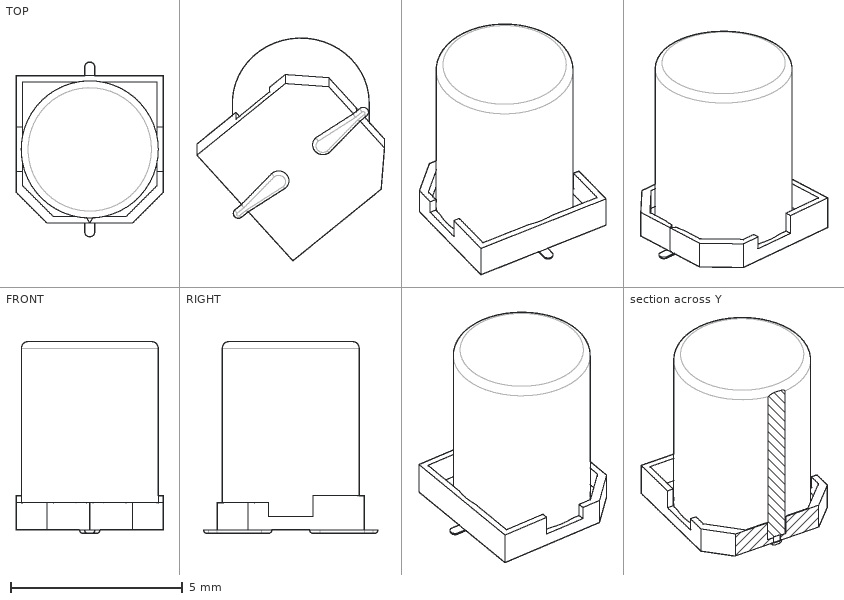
import cadquery as cq

base_width = 4.3
base_chamfer = 0.9
wall = 0.19
floor_height = 0.2
front_wall_height = 0.8
back_wall_height = 1.0
window_width = 1.3
window_sill = 0.4
notch_side_slope = 0.6
notch_breakthrough = 0.001

can_radius = 2.0
can_top = 5.5
can_fillet = 0.2

pad_thickness = 0.1
pad_outer_end = 2.55
pad_inner_end = 0.55
pad_tip_radius = 0.15
pad_root_radius = 0.3
pad_edge_fillet = 0.999 * pad_thickness

half_width = base_width / 2
can_bottom = floor_height
can_height = can_top - can_bottom


def chamfered_square(width, height):
    """Square block with its two -Y corners cut off."""
    block = cq.Workplane("XY").rect(width, width).extrude(height)
    return block.edges("|Z and <Y").chamfer(base_chamfer)


def make_base():
    body = chamfered_square(base_width, back_wall_height)

    pocket = chamfered_square(base_width - 2 * wall, back_wall_height)
    body = body.cut(pocket.translate((0, 0, floor_height)))

    seat = cq.Workplane("XY", origin=(0, 0, can_bottom)).circle(can_radius).extrude(can_height)
    body = body.cut(seat)

    front_relief = (
        cq.Workplane("XY", origin=(0, -half_width, front_wall_height))
        .rect(base_width, base_width)
        .extrude(back_wall_height)
    )
    body = body.cut(front_relief)

    windows = (
        cq.Workplane("XY", origin=(0, 0, window_sill))
        .rect(base_width, window_width)
        .extrude(back_wall_height)
    )
    body = body.cut(windows)

    notch_tip = -half_width - notch_breakthrough
    notch_back = -half_width + wall
    notch_half_width = notch_side_slope * (notch_back - notch_tip)
    notch = (
        cq.Workplane("XY")
        .moveTo(0, notch_tip)
        .lineTo(notch_half_width, notch_back)
        .lineTo(-notch_half_width, notch_back)
        .close()
        .extrude(back_wall_height)
    )
    return body.cut(notch)


def make_can():
    can = cq.Workplane("XY", origin=(0, 0, can_bottom)).circle(can_radius).extrude(can_height)
    return can.faces(">Z").edges().fillet(can_fillet)


def make_pad():
    """Pad under the +Y edge: a narrow round tip that widens to a round root under the base."""
    tip_center = pad_outer_end - pad_tip_radius
    root_center = pad_inner_end + pad_root_radius
    pad = (
        cq.Workplane("XY")
        .moveTo(pad_tip_radius, half_width)
        .lineTo(pad_tip_radius, tip_center)
        .threePointArc((0, pad_outer_end), (-pad_tip_radius, tip_center))
        .lineTo(-pad_tip_radius, half_width)
        .lineTo(-pad_root_radius, root_center)
        .threePointArc((0, pad_inner_end), (pad_root_radius, root_center))
        .close()
        .extrude(-pad_thickness)
    )
    return pad.faces("<Z").edges().fillet(pad_edge_fillet)


base = make_base()
can = make_can()
pads = [make_pad().rotate((0, 0, 0), (0, 0, 1), angle) for angle in (0, 180)]

result = cq.Compound.makeCompound([base.val(), can.val()] + [pad.val() for pad in pads])